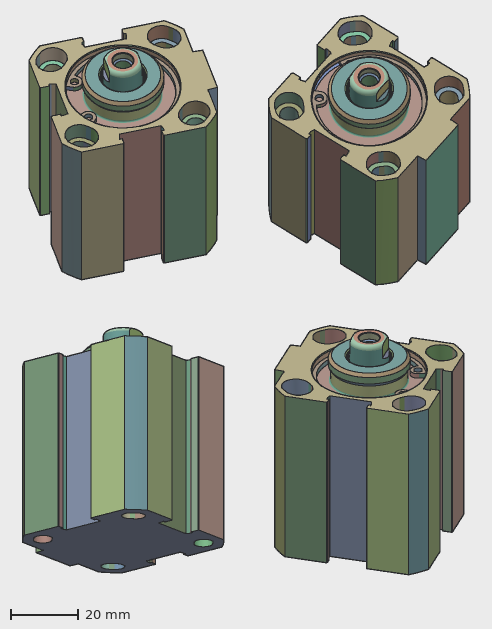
import cadquery as cq
import math

TOTAL_HEIGHT = 65.5

BODY_HEIGHT = 54.5
BODY_WIDTH = 46.0
BODY_DEPTH = 48.0
CORNER_RADIUS = 30.0
RIB_HEIGHT = 3.0
RIB_ROOT_HALF_WIDTH = 8.25
RIB_TIP_HALF_WIDTH = 8.05

SLOT_MOUTH_HALF_WIDTH = 6.1
SLOT_UNDERCUT_HALF_WIDTH = 6.8
SLOT_FLOOR_HALF_WIDTH = 6.4
SLOT_MOUTH_CHAMFER = 0.25
SLOT_UNDERCUT_DEPTH = 2.1
SLOT_UNDERCUT_STRAIGHT = 0.85
SIDE_LIP_DEPTH = 2.0
FRONT_LIP_DEPTH = 3.0

MOUNT_X = 16.5
MOUNT_Y = 17.4
MOUNT_HOLE_DIAMETER = 5.5
MOUNT_BORE_DIAMETER = 8.6
MOUNT_BORE_DEPTH = 5.5
MOUNT_STRETCH = 1.6

BORE_DIAMETER = 33.7
BORE_ENTRY_DIAMETER = 34.1
BORE_MOUTH_DIAMETER = 34.65
BORE_FLOOR_Z = 39.3
GROOVE_DIAMETER = 35.8

DISC_TOP_Z = 51.0
NECK_DIAMETER = 23.0
NECK_FILLET = 0.45
COLLAR_DIAMETER = 24.5
COLLAR_TOP_Z = 59.55
COLLAR_TOP_CHAMFER = 1.0
COLLAR_RIM_BOTTOM_Z = 56.4
COLLAR_BOTTOM_Z = 55.3
RECESS_MOUTH_DIAMETER = 14.5
RECESS_DIAMETER = 13.7
RECESS_DEPTH = 1.0
LEDGE_DIAMETER = 13.1
LEDGE_DEPTH = 1.65
CLEARANCE_DIAMETER = 12.5
CLEARANCE_DEPTH = 2.6

RING_THICKNESS = 1.5
RING_INNER_RADIUS = 15.8
EYE_DIAMETER = 2.5
EYE_X = 7.65
EYE_Y = -12.85
LUG_RADIUS = 2.35
LUG_ROOT_ANGLE = 40.7
RING_END_ANGLE = 22.5

ROD_DIAMETER = 12.0
ROD_TOP_FILLET = 1.4
FLAT_HALF_WIDTH = 5.05
FLAT_BOTTOM_Z = 61.0
ROD_HOLE_MOUTH_DIAMETER = 6.2
ROD_HOLE_MOUTH_CHAMFER = 0.2
ROD_HOLE_MOUTH_DEPTH = 2.3
ROD_HOLE_DIAMETER = 4.9
ROD_HOLE_DEPTH = 9.8
ROD_HOLE_STEP_HALF_ANGLE = 59.0
ROD_HOLE_TIP_HALF_ANGLE = 80.0


def turned(points):
    """Solid of revolution about Z from (radius, z) points."""
    return cq.Workplane("XZ").polyline(points).close().revolve(360, (0, 0), (0, 1))


def cylinder(diameter, bottom, top):
    """Cylinder on the Z axis between two heights."""
    return cq.Workplane("XY").workplane(offset=bottom).circle(diameter / 2).extrude(top - bottom)


def slot_cutter(lip_depth):
    """Undercut slot entering from y = 0 toward +Y, over the whole housing height."""
    floor = lip_depth + SLOT_UNDERCUT_DEPTH
    right_side = [
        (SLOT_MOUTH_HALF_WIDTH + SLOT_MOUTH_CHAMFER, 0),
        (SLOT_MOUTH_HALF_WIDTH, SLOT_MOUTH_CHAMFER),
        (SLOT_MOUTH_HALF_WIDTH, lip_depth),
        (SLOT_UNDERCUT_HALF_WIDTH, lip_depth),
        (SLOT_UNDERCUT_HALF_WIDTH, lip_depth + SLOT_UNDERCUT_STRAIGHT),
        (SLOT_FLOOR_HALF_WIDTH, floor),
    ]
    left_side = [(-x, y) for x, y in reversed(right_side)]
    return cq.Workplane("XY").polyline(right_side + left_side).close().extrude(BODY_HEIGHT)


def rear_rib():
    """Slightly tapered rib along the rear face."""
    root = BODY_DEPTH / 2
    tip = root + RIB_HEIGHT
    outline = [
        (-RIB_ROOT_HALF_WIDTH, 0),
        (-RIB_ROOT_HALF_WIDTH, root),
        (-RIB_TIP_HALF_WIDTH, tip),
        (RIB_TIP_HALF_WIDTH, tip),
        (RIB_ROOT_HALF_WIDTH, root),
        (RIB_ROOT_HALF_WIDTH, 0),
    ]
    return cq.Workplane("XY").polyline(outline).close().extrude(BODY_HEIGHT)


def mount_cutter(x_sign, y_sign):
    """Counterbored obround mounting hole in one corner."""
    x = x_sign * MOUNT_X
    y = y_sign * MOUNT_Y
    stretch_angle = -45 * x_sign * y_sign
    hole = (
        cq.Workplane("XY").center(x, y)
        .slot2D(MOUNT_HOLE_DIAMETER + MOUNT_STRETCH, MOUNT_HOLE_DIAMETER, stretch_angle)
        .extrude(BODY_HEIGHT)
    )
    counterbore = (
        cq.Workplane("XY").workplane(offset=BODY_HEIGHT - MOUNT_BORE_DEPTH).center(x, y)
        .slot2D(MOUNT_BORE_DIAMETER + MOUNT_STRETCH, MOUNT_BORE_DIAMETER, stretch_angle)
        .extrude(MOUNT_BORE_DEPTH)
    )
    return hole.union(counterbore)


def bore_cutter():
    """Blind bore with a wider, chamfered entry and a groove for the snap ring."""
    bore = BORE_DIAMETER / 2
    entry = BORE_ENTRY_DIAMETER / 2
    mouth = BORE_MOUTH_DIAMETER / 2
    groove = GROOVE_DIAMETER / 2
    groove_top = DISC_TOP_Z + RING_THICKNESS
    return turned([
        (0, BORE_FLOOR_Z),
        (bore, BORE_FLOOR_Z),
        (bore, DISC_TOP_Z),
        (groove, DISC_TOP_Z),
        (groove, groove_top),
        (entry, groove_top),
        (entry, BODY_HEIGHT - (mouth - entry)),
        (mouth, BODY_HEIGHT),
        (0, BODY_HEIGHT),
    ])


def make_housing():
    block = cq.Workplane("XY").rect(BODY_WIDTH, BODY_DEPTH).extrude(BODY_HEIGHT)
    body = block.intersect(cylinder(2 * CORNER_RADIUS, 0, BODY_HEIGHT)).union(rear_rib())
    side_slot = slot_cutter(SIDE_LIP_DEPTH).translate((0, -BODY_WIDTH / 2, 0))
    for turn in (-90, 90):
        body = body.cut(side_slot.rotate((0, 0, 0), (0, 0, 1), turn))
    body = body.cut(slot_cutter(FRONT_LIP_DEPTH).translate((0, -BODY_DEPTH / 2, 0)))
    for x_sign in (-1, 1):
        for y_sign in (-1, 1):
            body = body.cut(mount_cutter(x_sign, y_sign))
    return body.cut(bore_cutter())


def make_cover():
    disc = BORE_DIAMETER / 2
    neck = NECK_DIAMETER / 2
    collar = COLLAR_DIAMETER / 2
    mouth = RECESS_MOUTH_DIAMETER / 2
    recess = RECESS_DIAMETER / 2
    ledge = LEDGE_DIAMETER / 2
    clearance = CLEARANCE_DIAMETER / 2
    guide = ROD_DIAMETER / 2
    fillet_side = NECK_FILLET * (1 - math.sqrt(0.5))
    return (
        cq.Workplane("XZ")
        .moveTo(guide, BORE_FLOOR_Z)
        .lineTo(disc, BORE_FLOOR_Z)
        .lineTo(disc, DISC_TOP_Z)
        .lineTo(neck + NECK_FILLET, DISC_TOP_Z)
        .threePointArc((neck + fillet_side, DISC_TOP_Z + fillet_side), (neck, DISC_TOP_Z + NECK_FILLET))
        .lineTo(neck, COLLAR_BOTTOM_Z)
        .lineTo(collar, COLLAR_RIM_BOTTOM_Z)
        .lineTo(collar, COLLAR_TOP_Z - COLLAR_TOP_CHAMFER)
        .lineTo(collar - COLLAR_TOP_CHAMFER, COLLAR_TOP_Z)
        .lineTo(mouth, COLLAR_TOP_Z)
        .lineTo(recess, COLLAR_TOP_Z - (mouth - recess))
        .lineTo(recess, COLLAR_TOP_Z - RECESS_DEPTH)
        .lineTo(ledge, COLLAR_TOP_Z - RECESS_DEPTH)
        .lineTo(ledge, COLLAR_TOP_Z - LEDGE_DEPTH)
        .lineTo(clearance, COLLAR_TOP_Z - LEDGE_DEPTH)
        .lineTo(clearance, COLLAR_TOP_Z - CLEARANCE_DEPTH)
        .lineTo(guide, COLLAR_TOP_Z - CLEARANCE_DEPTH)
        .close()
        .revolve(360, (0, 0), (0, 1))
    )


def ring_point(radius, angle):
    """Point in the +X half at an angle in degrees measured from -Y."""
    a = math.radians(angle)
    return (radius * math.sin(a), -radius * math.cos(a))


def lug_tangent_point(point, side):
    """Where the line from an outside point touches the lug circle; side picks one of the two."""
    dx = point[0] - EYE_X
    dy = point[1] - EYE_Y
    angle = math.atan2(dy, dx) + side * math.acos(LUG_RADIUS / math.hypot(dx, dy))
    return (EYE_X + LUG_RADIUS * math.cos(angle), EYE_Y + LUG_RADIUS * math.sin(angle))


def mirrored(point):
    """The same point on the -X side."""
    return (-point[0], point[1])


def make_snap_ring():
    """Open ring whose ends are round-nosed lugs, each with sides tangent to its nose."""
    outer = GROOVE_DIAMETER / 2
    end = ring_point(outer, RING_END_ANGLE)
    root = ring_point(RING_INNER_RADIUS, LUG_ROOT_ANGLE)
    nose_scale = 1 - LUG_RADIUS / math.hypot(EYE_X, EYE_Y)
    nose = (EYE_X * nose_scale, EYE_Y * nose_scale)
    nose_start = lug_tangent_point(root, 1)
    nose_end = lug_tangent_point(end, -1)
    return (
        cq.Workplane("XY").workplane(offset=DISC_TOP_Z)
        .moveTo(*end)
        .threePointArc((0, outer), mirrored(end))
        .lineTo(*mirrored(nose_end))
        .threePointArc(mirrored(nose), mirrored(nose_start))
        .lineTo(*mirrored(root))
        .threePointArc((0, RING_INNER_RADIUS), root)
        .lineTo(*nose_start)
        .threePointArc(nose, nose_end)
        .close()
        .pushPoints([(-EYE_X, EYE_Y), (EYE_X, EYE_Y)])
        .circle(EYE_DIAMETER / 2)
        .extrude(RING_THICKNESS)
    )


def flat_cutter():
    """Wrench flat on the -Y side with a 45 degree run-out at its lower end."""
    beyond = ROD_DIAMETER
    run_out = beyond - FLAT_HALF_WIDTH
    outline = [
        (-FLAT_HALF_WIDTH, TOTAL_HEIGHT),
        (-FLAT_HALF_WIDTH, FLAT_BOTTOM_Z),
        (-beyond, FLAT_BOTTOM_Z - run_out),
        (-beyond, TOTAL_HEIGHT),
    ]
    return cq.Workplane("YZ").polyline(outline).close().extrude(ROD_DIAMETER, both=True)


def rod_hole_cutter():
    """Stepped blind hole with a chamfered mouth, a conical step and a shallow conical bottom."""
    mouth = ROD_HOLE_MOUTH_DIAMETER / 2
    hole = ROD_HOLE_DIAMETER / 2
    step_z = TOTAL_HEIGHT - ROD_HOLE_MOUTH_DEPTH
    bottom = TOTAL_HEIGHT - ROD_HOLE_DEPTH
    step_drop = (mouth - hole) / math.tan(math.radians(ROD_HOLE_STEP_HALF_ANGLE))
    tip = hole / math.tan(math.radians(ROD_HOLE_TIP_HALF_ANGLE))
    return turned([
        (0, TOTAL_HEIGHT),
        (mouth + ROD_HOLE_MOUTH_CHAMFER, TOTAL_HEIGHT),
        (mouth, TOTAL_HEIGHT - ROD_HOLE_MOUTH_CHAMFER),
        (mouth, step_z),
        (hole, step_z - step_drop),
        (hole, bottom),
        (0, bottom - tip),
    ])


def make_rod():
    rod = cylinder(ROD_DIAMETER, BORE_FLOOR_Z, TOTAL_HEIGHT).faces(">Z").edges().fillet(ROD_TOP_FILLET)
    flat = flat_cutter()
    return rod.cut(flat).cut(flat.mirror("XZ")).cut(rod_hole_cutter())


housing = make_housing()
cover = make_cover()
snap_ring = make_snap_ring()
rod = make_rod()

result = cq.Compound.makeCompound([housing.val(), cover.val(), snap_ring.val(), rod.val()])